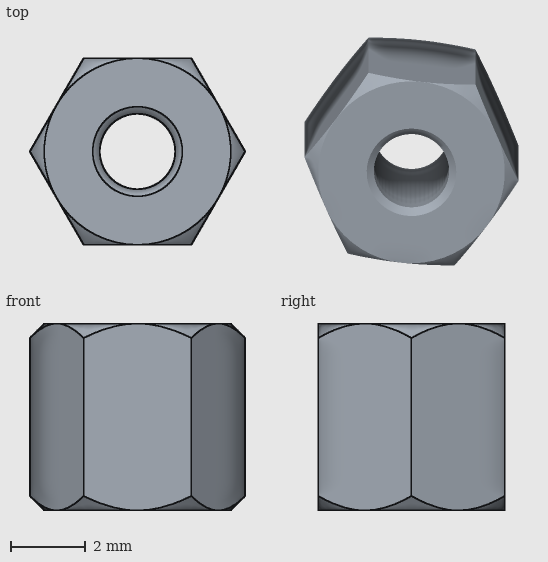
import cadquery as cq
import math

across_corners = 5.77
across_flats = across_corners * math.cos(math.pi / 6)
height = 5.0
hole_diameter = 2.015
countersink_diameter = 2.4

bevel = (across_corners - across_flats) / 2
countersink_depth = (countersink_diameter - hole_diameter) / 2


def hexagonal_body():
    prism = cq.Workplane("XY").polygon(6, across_corners).extrude(height)
    bevelled_cylinder = (
        cq.Workplane("XY")
        .circle(across_corners / 2)
        .extrude(height)
        .faces("<Z or >Z")
        .edges()
        .chamfer(bevel)
    )
    return prism.intersect(bevelled_cylinder)


def countersunk_bore():
    """Through hole, widened by a 45 degree countersink at both ends."""
    bore_radius = hole_diameter / 2
    rim_radius = countersink_diameter / 2
    return (
        cq.Workplane("XZ")
        .moveTo(0, 0)
        .lineTo(rim_radius, 0)
        .lineTo(bore_radius, countersink_depth)
        .lineTo(bore_radius, height - countersink_depth)
        .lineTo(rim_radius, height)
        .lineTo(0, height)
        .close()
        .revolve(360, (0, 0, 0), (0, 1, 0))
    )


result = hexagonal_body().cut(countersunk_bore())